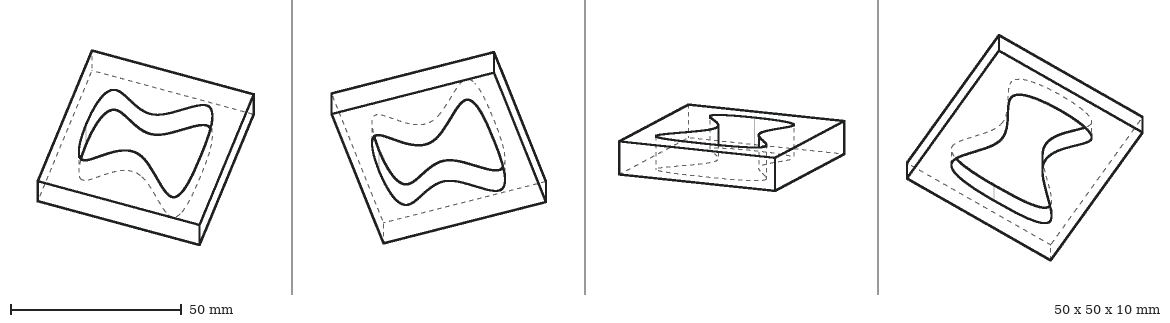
import cadquery as cq

plate_side = 50.0
plate_thickness = 10.0

left_side = (-18.1, -0.85)
upper_left_lobe = (-13.9, 13.6)
upper_left_flank = (-7.65, 10.75)
upper_waist = (-1.3, 8.6)
upper_right_flank = (6.0, 12.3)
upper_right_lobe = (13.2, 16.75)
right_side = (17.35, -0.5)
lower_right_lobe = (14.25, -17.9)
lower_right_flank = (6.0, -11.0)
lower_waist = (-2.1, -5.9)
lower_left_flank = (-8.5, -8.75)
lower_left_lobe = (-15.0, -13.5)

upward = (0, 1)
downward = (0, -1)

upper_edge = [
    left_side,
    upper_left_lobe,
    upper_left_flank,
    upper_waist,
    upper_right_flank,
    upper_right_lobe,
    right_side,
]
lower_edge = [
    right_side,
    lower_right_lobe,
    lower_right_flank,
    lower_waist,
    lower_left_flank,
    lower_left_lobe,
    left_side,
]

plate = cq.Workplane("XY").box(plate_side, plate_side, plate_thickness)

window = (
    cq.Workplane("XY")
    .workplane(offset=-plate_thickness / 2)
    .spline(upper_edge, tangents=[upward, downward], scale=False)
    .spline(lower_edge, tangents=[downward, upward], scale=False)
    .close()
    .extrude(plate_thickness)
)

result = plate.cut(window)